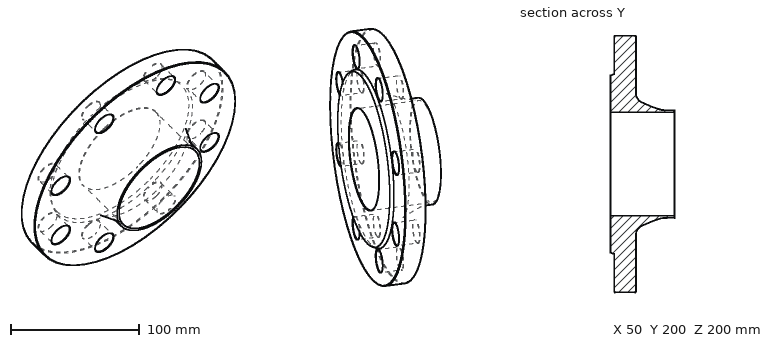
import cadquery as cq

total_length = 50.0
raised_face_height = 3.0
flange_thickness = 17.0
weld_end_length = 10.0
flange_back = raised_face_height + flange_thickness
cone_end = total_length - weld_end_length

flange_diameter = 200.0
raised_face_diameter = 138.0
raised_face_foot_diameter = 140.5
hub_base_diameter = 100.0
weld_end_diameter = 84.0
bore_diameter = 80.0

bolt_count = 8
bolt_diameter = 18.0
bolt_circle_diameter = 160.0

hub_blend_radius = 8.0
rim_chamfer = 0.5
hole_chamfer = 0.5


def disc(start, end, diameter):
    """Solid cylinder on the X axis between two axial positions."""
    return cq.Workplane("YZ", origin=(start, 0, 0)).circle(diameter / 2).extrude(end - start)


def flange_plate():
    """Flange disc with both rim edges chamfered."""
    plate = disc(raised_face_height, flange_back, flange_diameter)
    return plate.faces("<X or >X").edges().chamfer(rim_chamfer)


def raised_face():
    """Sealing face whose side flares slightly toward the flange."""
    return (
        cq.Workplane("YZ")
        .circle(raised_face_diameter / 2)
        .workplane(offset=raised_face_height)
        .circle(raised_face_foot_diameter / 2)
        .loft(ruled=True)
    )


def hub():
    """Conical hub that runs into a short cylindrical weld end."""
    return (
        cq.Workplane("XY")
        .moveTo(flange_back, 0)
        .lineTo(flange_back, hub_base_diameter / 2)
        .lineTo(cone_end, weld_end_diameter / 2)
        .lineTo(total_length, weld_end_diameter / 2)
        .lineTo(total_length, 0)
        .close()
        .revolve(360, (0, 0, 0), (1, 0, 0))
    )


def edge_ring(position, diameter):
    """Selector for the circular edge at an axial position."""
    margin = 0.02
    reach = diameter / 2 + margin
    return cq.selectors.BoxSelector(
        (position - margin, -reach, -reach),
        (position + margin, reach, reach),
        boundingbox=True,
    )


def bolt_holes():
    """Through holes straddling the Y and Z axes, chamfered at both mouths."""
    mouth_diameter = bolt_diameter + 2 * hole_chamfer
    hole = (
        cq.Workplane("XY")
        .moveTo(raised_face_height, 0)
        .lineTo(raised_face_height, mouth_diameter / 2)
        .lineTo(raised_face_height + hole_chamfer, bolt_diameter / 2)
        .lineTo(flange_back - hole_chamfer, bolt_diameter / 2)
        .lineTo(flange_back, mouth_diameter / 2)
        .lineTo(flange_back, 0)
        .close()
        .revolve(360, (0, 0, 0), (1, 0, 0))
        .translate((0, bolt_circle_diameter / 2, 0))
    )
    pitch = 360 / bolt_count
    holes = cq.Workplane("YZ")
    for index in range(bolt_count):
        holes = holes.add(hole.rotate((0, 0, 0), (1, 0, 0), (index + 0.5) * pitch))
    return holes.combine()


body = flange_plate().union(raised_face()).union(hub())

body = body.edges(edge_ring(cone_end, weld_end_diameter)).fillet(hub_blend_radius)
body = body.edges(edge_ring(flange_back, hub_base_diameter)).fillet(hub_blend_radius)

body = body.cut(disc(0, total_length, bore_diameter))
body = body.edges(edge_ring(0, bore_diameter)).chamfer(hole_chamfer)

result = body.cut(bolt_holes())